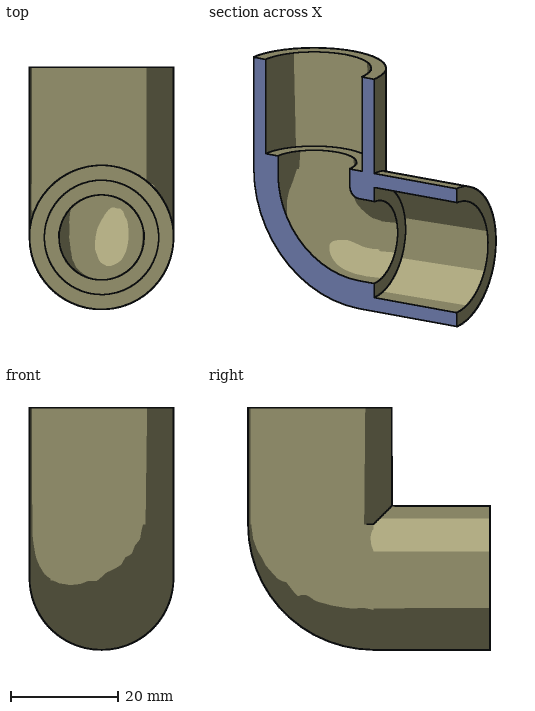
import cadquery as cq
import math

overall_size = 45.2
outer_diameter = 26.9
socket_diameter = 21.35
bore_diameter = 15.85
bend_radius = 10.0

outer_radius = outer_diameter / 2
end_distance = overall_size - outer_radius
leg_length = end_distance - bend_radius
socket_depth = overall_size - outer_diameter


def end_cylinders(diameter, length):
    """Two cylinders running inward from the open ends of the legs."""
    radius = diameter / 2
    up = cq.Solid.makeCylinder(
        radius, length, cq.Vector(0, 0, end_distance), cq.Vector(0, 0, -1)
    )
    along = cq.Solid.makeCylinder(
        radius, length, cq.Vector(0, end_distance, 0), cq.Vector(0, -1, 0)
    )
    return cq.Workplane(up).union(cq.Workplane(along))


def quarter_turn(section):
    """Sweep a closed section around the bend axis, which runs along X."""
    return section.revolve(90, (0, bend_radius), (1, bend_radius))


def wall_bend():
    """Outer bend: a round section cut off flat at the bend axis, which it would otherwise cross."""
    diagonal = outer_radius * math.sqrt(0.5)
    half_width = math.sqrt(outer_radius**2 - bend_radius**2)
    section = (
        cq.Workplane("XY", origin=(0, 0, bend_radius))
        .moveTo(half_width, bend_radius)
        .lineTo(-half_width, bend_radius)
        .threePointArc((-outer_radius, 0), (-diagonal, -diagonal))
        .threePointArc((0, -outer_radius), (diagonal, -diagonal))
        .threePointArc((outer_radius, 0), (half_width, bend_radius))
        .close()
    )
    return quarter_turn(section)


def bore_bend():
    """Inner bend: a full round section that stays clear of the bend axis."""
    section = cq.Workplane("XY", origin=(0, 0, bend_radius)).circle(bore_diameter / 2)
    return quarter_turn(section)


body = end_cylinders(outer_diameter, leg_length).union(wall_bend())
passage = end_cylinders(bore_diameter, leg_length).union(bore_bend())
sockets = end_cylinders(socket_diameter, socket_depth)

result = body.cut(passage).cut(sockets)